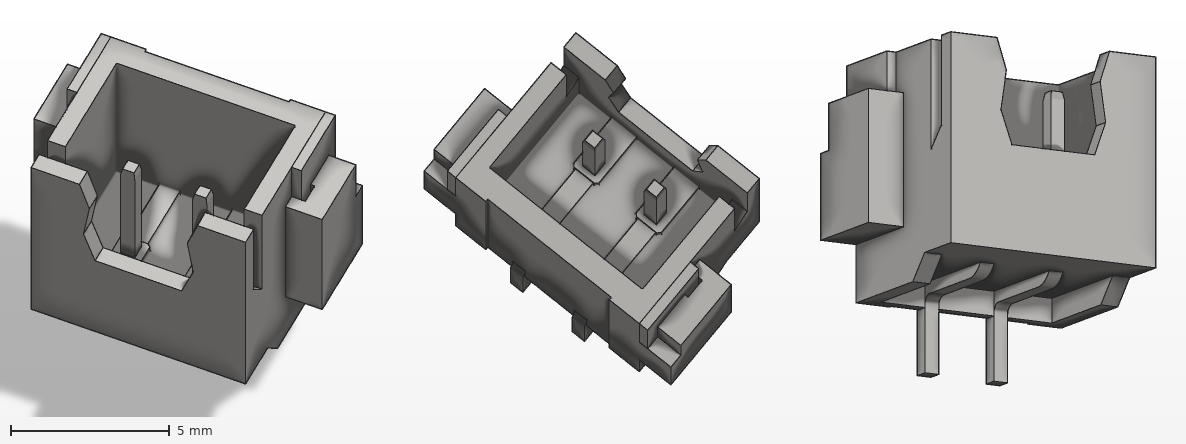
import cadquery as cq
import math


overall_width = 10.0
overall_depth = 6.0
overall_height = 9.7

shell_width = 7.44
shell_height = 7.6
lip_height = 6.8
lip_depth = 1.65
slope_end = 2.4
cavity_width = 6.2
cavity_back = 0.92
front_wall = 0.6
floor_depth = 5.2
cavity_fillet = 0.05
back_recess_width = 5.0
back_recess_depth = 0.1

side_slot_width = 0.64
side_slot_straight = 2.9

key_outline = [(2.04, 0.0), (1.7, 1.01), (1.9, 2.31), (1.5, 3.4)]

pin_pitch = 2.5
pin_size = 0.5
pin_y = -3.85
pin_top = 1.01
pin_taper_height = 0.27
pin_tip_size = 0.4
bend_inner_radius = 0.3
bend_outer_radius = bend_inner_radius + pin_size
bend_bottom = 7.2
bend_top = bend_bottom - bend_outer_radius
pin_positions = [-pin_pitch / 2, pin_pitch / 2]

rib_pitch = 2.53
rib_width = 0.72
rib_height = 0.1
pad_width = 1.02
pad_height = 0.2
pad_back = 3.4
pad_corner = 0.1
rib_positions = [-rib_pitch / 2, rib_pitch / 2]

wing_top = 1.4
wing_bottom = 5.72
wing_depth = 3.02
notch_depth = 0.5
notch_bottom = 2.92
plate_thickness = 0.34
plate_depth = 2.55
relief_width = 0.14
relief_length = 0.7


def box(x_min, x_max, y_min, y_max, z_min, z_max):
    """Axis-aligned box between two corners."""
    size = (x_max - x_min, y_max - y_min, z_max - z_min)
    return cq.Workplane("XY").box(*size, centered=False).translate((x_min, y_min, z_min))


def centred_box(width, y_min, y_max, z_min, z_max, x=0.0):
    """Box of the given width centred on x."""
    return box(x - width / 2, x + width / 2, y_min, y_max, z_min, z_max)


def extrude_side(points, width):
    """Extrude a (y, z) outline symmetrically about x = 0."""
    return cq.Workplane("YZ").polyline(points).close().extrude(width / 2, both=True)


def mirrored_pair(body):
    """The body and its mirror image across x = 0."""
    return [body, body.mirror("YZ")]


def make_pin(x):
    """Square pin with a tapered tip, bent twice into a foot lying on the board."""
    front = pin_y - pin_size / 2
    back = pin_y + pin_size / 2
    inner = bend_inner_radius
    outer = bend_outer_radius
    diagonal = math.sqrt(0.5)
    bend_y = back + inner
    foot_y = -outer
    foot_z = -bend_top - inner - outer
    shank_top = -pin_top - pin_taper_height
    shank = (
        cq.Workplane("YZ")
        .moveTo(front, shank_top)
        .lineTo(front, -bend_top)
        .threePointArc(
            (bend_y - outer * diagonal, -bend_top - outer * diagonal),
            (bend_y, -bend_top - outer),
        )
        .lineTo(foot_y, -bend_top - outer)
        .threePointArc(
            (foot_y + inner * diagonal, foot_z + inner * diagonal),
            (foot_y + inner, foot_z),
        )
        .lineTo(foot_y + inner, -overall_height)
        .lineTo(0, -overall_height)
        .lineTo(0, foot_z)
        .threePointArc(
            (foot_y + outer * diagonal, foot_z + outer * diagonal),
            (foot_y, foot_z + outer),
        )
        .lineTo(bend_y, -bend_top - inner)
        .threePointArc((bend_y - inner * diagonal, -bend_top - inner * diagonal), (back, -bend_top))
        .lineTo(back, shank_top)
        .close()
        .extrude(pin_size / 2, both=True)
    )
    tip = (
        cq.Workplane("XY", origin=(0, pin_y, shank_top))
        .rect(pin_size, pin_size)
        .workplane(offset=pin_taper_height)
        .rect(pin_tip_size, pin_tip_size)
        .loft(ruled=True)
    )
    return shank.union(tip).translate((x, 0, 0))


def make_plate():
    """Left hold-down plate, flat against the shell and sunk into the wing."""
    inner_x = -shell_width / 2
    return box(inner_x - plate_thickness, inner_x, -plate_depth, 0, -notch_bottom, 0)


def make_shell():
    """Outer block with the stepped and sloped underside."""
    outline = [
        (0, 0),
        (-overall_depth, 0),
        (-overall_depth, -lip_height),
        (-overall_depth + lip_depth, -lip_height),
        (-overall_depth + slope_end, -shell_height),
        (0, -shell_height),
    ]
    return extrude_side(outline, shell_width)


def make_wing():
    """Left wing with the rear notch and the relief beside the plate."""
    outer_x = -overall_width / 2
    plate_x = -shell_width / 2 - plate_thickness
    wing = box(outer_x, -shell_width / 2, -wing_depth, 0, -wing_bottom, -wing_top)
    notch = box(outer_x, plate_x, -notch_depth, 0, -notch_bottom, -wing_top)
    relief = box(
        plate_x - relief_width, plate_x,
        -plate_depth, relief_length - plate_depth,
        -notch_bottom, -wing_top,
    )
    return wing.cut(notch).cut(relief)


def make_floor_rib(x):
    """Low rib from the rear wall, widening to a higher pad around the pin."""
    front = -overall_depth + front_wall
    rib = centred_box(rib_width, -pad_back, -cavity_back, -floor_depth, -floor_depth + rib_height, x)
    pad = centred_box(pad_width, front, -pad_back, -floor_depth, -floor_depth + pad_height, x)
    pad = pad.edges("|Z and >Y").chamfer(pad_corner)
    return rib.union(pad)


def make_cavity():
    """Space inside the shell, rounded along its corners, around its floor and along the ribs."""
    front = -overall_depth + front_wall
    cavity = centred_box(cavity_width, front, -cavity_back, -floor_depth, 0)
    cavity = cavity.edges("|Z and >Y").fillet(cavity_fillet)
    for x in rib_positions:
        cavity = cavity.cut(make_floor_rib(x))
    wall_joints = cavity.faces("<Y or >Y").edges("|X and (not >Z)")
    floor_joints = cavity.faces("<Z").edges()
    return wall_joints.add(floor_joints).fillet(cavity_fillet)


def make_side_slots():
    """Slots through both side walls behind the front wall, with a 45 degree bottom."""
    front = -overall_depth + front_wall
    back = front + side_slot_width
    outline = [
        (front, 0),
        (back, 0),
        (back, -side_slot_straight - side_slot_width),
        (front, -side_slot_straight),
    ]
    return extrude_side(outline, shell_width)


def make_key_opening():
    """Waisted opening through the front wall."""
    left = [(-half_width, -depth) for half_width, depth in key_outline]
    right = [(half_width, -depth) for half_width, depth in reversed(key_outline)]
    opening = cq.Workplane("XZ", origin=(0, -overall_depth, 0)).polyline(left + right).close()
    return opening.extrude(-front_wall)


def make_back_recess():
    """Shallow full-height recess in the rear face."""
    return centred_box(back_recess_width, -back_recess_depth, 0, -shell_height, 0)


def make_underside_pocket():
    """Pocket under the floor that leaves room for the bent pins."""
    return centred_box(cavity_width, -overall_depth, -pin_size, -shell_height, -lip_height)


def make_pin_slot(x):
    """Slot through the rear wall where a pin bends down to its foot."""
    return centred_box(pin_size, -pin_size, 0, -shell_height, -bend_top - bend_inner_radius, x)


def make_housing(pins, plates):
    housing = make_shell()
    for cutter in (
        make_cavity(),
        make_side_slots(),
        make_key_opening(),
        make_back_recess(),
        make_underside_pocket(),
    ):
        housing = housing.cut(cutter)
    for wing in mirrored_pair(make_wing()):
        housing = housing.union(wing)
    for x in pin_positions:
        housing = housing.cut(make_pin_slot(x))
    for insert in pins + plates:
        housing = housing.cut(insert)
    return housing


pins = [make_pin(x) for x in pin_positions]
plates = mirrored_pair(make_plate())
housing = make_housing(pins, plates)

result = cq.Compound.makeCompound([
    housing.val(),
    *[pin.val() for pin in pins],
    *[plate.val() for plate in plates],
])